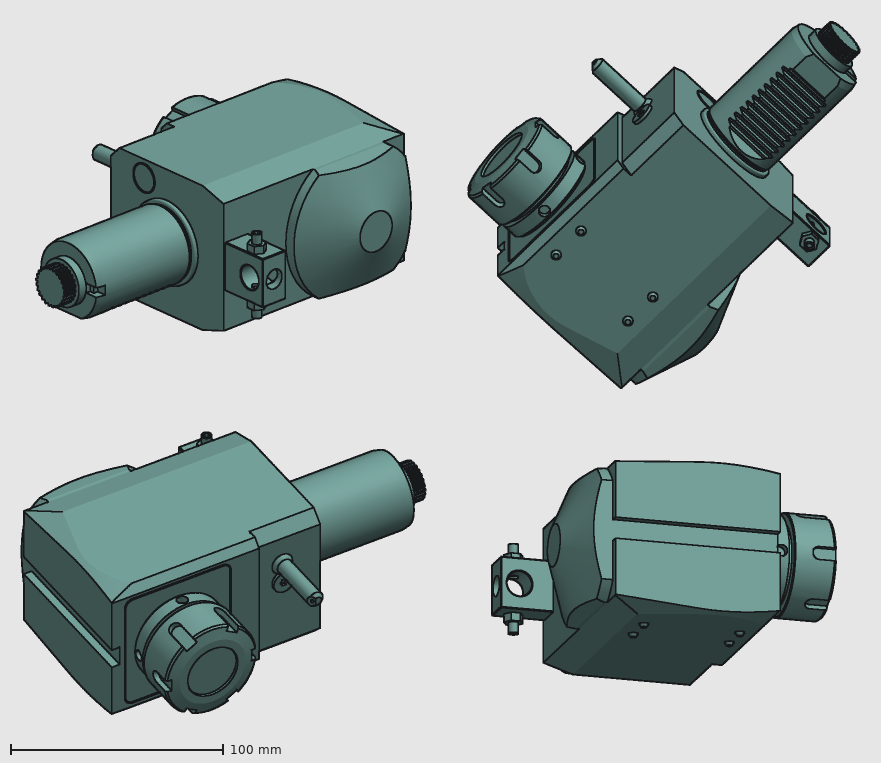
import cadquery as cq
import math


HOUSING_HEIGHT = 75.0
HALF_HEIGHT = HOUSING_HEIGHT / 2
HOUSING_BACK = 116.0
SPINDLE_FACE_X = -42.0
FRONT_STEP_X = -39.0
FRONT_STEP_Y = 35.2
HOUSING_RIGHT = 39.2
SPINDLE_SIDE_CHAMFER = 4.0
FRONT_STEP_CHAMFER = 6.0
TAPER_START_X = 24.6
TAPER_DROP = 4.5
NOTCH_WIDTH = 10.4
NOTCH_DEPTH = 4.3

CROWN_RADIUS = 38.5
CROWN_CENTER_X = -12.6
CROWN_CENTER_Y = 73.9
CROWN_LINE_ANGLE = 15.6
CROWN_SLOPE = 3.4
CROWN_DEPTH = 7.5

SPINDLE_Y = 80.0
NUT_FRONT_X = -74.6
NUT_BACK_X = -52.5
NUT_RADIUS = 25.0
NUT_FACE_RADIUS = 18.0
NUT_RIM_RADIUS = 24.2
NUT_RIM_X = -73.2
NUT_BEVEL_X = -72.1
NUT_EDGE_BEVEL = 0.5
COLLET_RADIUS = 13.7
COLLET_RECESS = 1.5
NECK_RADIUS = 20.4
RING_FRONT_X = -50.2
RING_BACK_X = -43.1
RING_RADIUS = 24.0
RING_SEAT_RADIUS = 23.0
RING_HOLE_X = -46.4
RING_HOLE_DIAMETER = 5.5
RING_HOLE_DEPTH = 4.0
RING_HOLE_COUNT = 4
NUT_SLOT_COUNT = 6
NUT_SLOT_WIDTH = 6.4
LONG_SLOT_END_X = -57.5
SHORT_SLOT_END_X = -61.5
LONG_SLOT_POSITIONS = (0, 1)
NUT_SLOT_DEPTH = 3.1

FRAME_Y_MIN = 50.6
FRAME_Y_MAX = 108.8
FRAME_HEIGHT = 63.0
FRAME_RADIUS = 4.5
FRAME_LINE = 0.5

COVER_RADIUS = 40.0
COVER_TIP_RADIUS = 10.3
COVER_CONE_X = 44.8
COVER_TIP_X = 58.6
COVER_SHOULDER_X = 40.8
COVER_HALF_HEIGHT = 33.0
COVER_SIDE_SLOPE = 0.235

SHANK_RADIUS = 20.0
SHANK_END = 63.2
COLLAR_RADIUS = 21.5
COLLAR_LENGTH = 2.3
COLLAR_FILLET = 0.8
RELIEF_RADIUS = 19.4
RELIEF_END = 3.2
LEAD_IN_END = 4.2
TIP_BEVEL_START = 59.6
TIP_RADIUS = 19.2
HUB_RADIUS = 12.1
HUB_END = 67.8
SPLINE_RADIUS = 10.0
SPLINE_ROOT_RADIUS = 9.2
SPLINE_TEETH = 24
SPLINE_END = 75.0
TOOTH_RISE_START = 0.3
TOOTH_TIP_START = 0.5
TOOTH_TIP_END = 0.8
KEYWAY_WIDTH = 5.0
KEYWAY_DEPTH = 5.0
KEYWAY_STEP_DEPTH = 2.5
KEYWAY_STEP_X = 14.8

TOOTH_TIP_Z = -16.3
TOOTH_ROOT_Z = -14.3
END_FLAT_Z = -17.1
FLAT_START_Y = -9.0
FLAT_END_Y = -50.0
TOOTH_PITCH = 4.0
GROOVE_COUNT = 10
FIRST_GROOVE_Y = -11.5
GROOVE_ROOT_WIDTH = 1.0
GROOVE_MOUTH_WIDTH = 2.8

NOZZLE_Y = 20.8
NOZZLE_Z = 16.1
NOZZLE_RADIUS = 4.0
NOZZLE_TIP_X = -71.6
NOZZLE_TIP_CHAMFER = 1.8
TIP_FLAT_OFFSET = 1.0
ORIFICE_SETBACK = 1.2
ORIFICE_DIAMETER = 1.5
ORIFICE_DEPTH = 2.0
BALL_RADIUS = 6.0
BALL_CENTER_X = FRONT_STEP_X + 2.15
PLUG_Z = 6.0
PLUG_RADIUS = 5.6
PLUG_HEIGHT = 1.7
PLUG_SOCKET_SIZE = 3.9
PLUG_SOCKET_DEPTH = 1.5
FRONT_PLUG_X = -16.1
FRONT_PLUG_Z = 27.6
FRONT_PLUG_RADIUS = 7.5
FRONT_PLUG_LINE = 0.5
SURFACE_LINE_DEPTH = 0.3

LUG_RIGHT = 65.0
LUG_Y_MIN = 1.2
LUG_Y_MAX = 16.0
LUG_HALF_HEIGHT = 12.6
LUG_EDGE_CHAMFER = 0.4
LUG_HOLE_X = 55.8
LUG_HOLE_DIAMETER = 12.2
LUG_HOLE_CHAMFER = 0.4
PORT_DIAMETER = 10.0
SCREW_TIP_GAP = 1.0
SCREW_Y = 6.0
SCREW_DIAMETER = 4.8
SCREW_TOP = 21.8
SCREW_SOCKET_SIZE = 3.4
SCREW_SOCKET_DEPTH = 2.5
LOCK_NUT_SIZE = 9.2
LOCK_NUT_HEIGHT = 4.0

RIVET_X = (-30.5, 16.8)
RIVET_Y_OFFSET = 8.4
RIVET_RADIUS = 2.4
RIVET_TIP_RADIUS = 1.3
RIVET_HEIGHT = 1.6

OVERLAP = 1.0


def x_cylinder(x_start, x_end, radius, y, z):
    """Cylinder along X between two X positions."""
    return cq.Workplane("YZ", origin=(x_start, y, z)).circle(radius).extrude(x_end - x_start)


def box(x_min, x_max, y_min, y_max, z_min, z_max):
    """Box given by its limits."""
    return (
        cq.Workplane("XY")
        .box(x_max - x_min, y_max - y_min, z_max - z_min, centered=False)
        .translate((x_min, y_min, z_min))
    )


def housing_section(left, chamfer, y_min, y_max):
    """Prism along Y: chamfered on the left, tapered on the right."""
    right_z = HALF_HEIGHT - TAPER_DROP
    upper = [
        (left, HALF_HEIGHT - chamfer),
        (left + chamfer, HALF_HEIGHT),
        (TAPER_START_X, HALF_HEIGHT),
        (HOUSING_RIGHT, right_z),
    ]
    lower = [(x, -z) for x, z in reversed(upper)]
    return (
        cq.Workplane("XZ", origin=(0, y_min, 0))
        .polyline(upper + lower)
        .close()
        .extrude(y_min - y_max)
    )


def crown_outline(plane, growth):
    """Crown outline at one level: an arc running into a tangent line at the back."""
    radius = CROWN_RADIUS + growth
    far_right = HOUSING_RIGHT + OVERLAP
    left = CROWN_CENTER_X - radius
    line_angle = math.radians(CROWN_LINE_ANGLE)
    mid_angle = (line_angle - math.pi / 2) / 2

    def on_arc(angle):
        return (
            CROWN_CENTER_X + radius * math.sin(angle),
            CROWN_CENTER_Y + radius * math.cos(angle),
        )

    tangent_x, tangent_y = on_arc(line_angle)
    line_end_y = tangent_y - (far_right - tangent_x) * math.tan(line_angle)
    return (
        plane.moveTo(left, -OVERLAP)
        .lineTo(left, CROWN_CENTER_Y)
        .threePointArc(on_arc(mid_angle), (tangent_x, tangent_y))
        .lineTo(far_right, line_end_y)
        .lineTo(far_right, -OVERLAP)
        .close()
    )


def crown_envelope():
    """Space the housing keeps: a full-size core between two sloped crowns."""
    base_z = HALF_HEIGHT - CROWN_DEPTH
    outline = crown_outline(cq.Workplane("XY", origin=(0, 0, base_z)), CROWN_DEPTH * CROWN_SLOPE)
    upper = crown_outline(outline.workplane(offset=CROWN_DEPTH), 0).loft(ruled=True)
    lower = upper.mirror("XY")
    core = box(
        SPINDLE_FACE_X - OVERLAP, HOUSING_RIGHT + OVERLAP,
        -OVERLAP, HOUSING_BACK + OVERLAP, -base_z, base_z,
    )
    return core.union(upper).union(lower)


def make_housing():
    """Stepped housing with its sloped back crown and a notch across the back."""
    rear = housing_section(SPINDLE_FACE_X, SPINDLE_SIDE_CHAMFER, FRONT_STEP_Y, HOUSING_BACK)
    front = housing_section(FRONT_STEP_X, FRONT_STEP_CHAMFER, 0, FRONT_STEP_Y)
    notch = box(
        SPINDLE_FACE_X - OVERLAP, HOUSING_RIGHT + OVERLAP,
        HOUSING_BACK - NOTCH_DEPTH, HOUSING_BACK + OVERLAP,
        -NOTCH_WIDTH / 2, NOTCH_WIDTH / 2,
    )
    return rear.intersect(crown_envelope()).union(front).cut(notch)


def frame_line():
    """Shallow rounded-rectangle groove on the spindle face."""
    width = FRAME_Y_MAX - FRAME_Y_MIN
    center_y = (FRAME_Y_MAX + FRAME_Y_MIN) / 2

    def rounded_plate(inset):
        return (
            cq.Workplane("YZ", origin=(SPINDLE_FACE_X, center_y, 0))
            .rect(width - 2 * inset, FRAME_HEIGHT - 2 * inset)
            .extrude(SURFACE_LINE_DEPTH)
            .edges("|X")
            .fillet(FRAME_RADIUS - inset)
        )

    return rounded_plate(0).cut(rounded_plate(FRAME_LINE))


def front_plug_line():
    """Shallow ring groove around the plug in the front face."""
    return (
        cq.Workplane("XZ", origin=(FRONT_PLUG_X, 0, FRONT_PLUG_Z))
        .circle(FRONT_PLUG_RADIUS)
        .circle(FRONT_PLUG_RADIUS - FRONT_PLUG_LINE)
        .extrude(-SURFACE_LINE_DEPTH)
    )


def nut_slot(end_x):
    """Wrench slot on top of the nut, open at the front and round at its end."""
    return (
        cq.Workplane("XY", origin=(NUT_FRONT_X, 0, NUT_RADIUS - NUT_SLOT_DEPTH))
        .slot2D(2 * (end_x - NUT_FRONT_X), NUT_SLOT_WIDTH)
        .extrude(NUT_SLOT_DEPTH + OVERLAP)
    )


def make_spindle():
    """Collet nut, neck and bearing ring, turned about the spindle axis."""
    profile = [
        (SPINDLE_FACE_X + OVERLAP, 0),
        (NUT_FRONT_X + COLLET_RECESS, 0),
        (NUT_FRONT_X + COLLET_RECESS, COLLET_RADIUS),
        (NUT_FRONT_X, COLLET_RADIUS),
        (NUT_FRONT_X, NUT_FACE_RADIUS),
        (NUT_RIM_X, NUT_RIM_RADIUS),
        (NUT_BEVEL_X, NUT_RADIUS),
        (NUT_BACK_X - NUT_EDGE_BEVEL, NUT_RADIUS),
        (NUT_BACK_X, NUT_RADIUS - NUT_EDGE_BEVEL),
        (NUT_BACK_X, NECK_RADIUS),
        (RING_FRONT_X, NECK_RADIUS),
        (RING_FRONT_X, RING_RADIUS),
        (RING_BACK_X, RING_RADIUS),
        (RING_BACK_X, RING_SEAT_RADIUS),
        (SPINDLE_FACE_X + OVERLAP, RING_SEAT_RADIUS),
    ]
    turned = cq.Workplane("XY").polyline(profile).close().revolve(360, (0, 0, 0), (1, 0, 0))

    slot_step = 360 / NUT_SLOT_COUNT
    for index in range(NUT_SLOT_COUNT):
        slot_end = LONG_SLOT_END_X if index in LONG_SLOT_POSITIONS else SHORT_SLOT_END_X
        angle = (index - 0.5) * slot_step
        turned = turned.cut(nut_slot(slot_end).rotate((0, 0, 0), (1, 0, 0), angle))

    hole = (
        cq.Workplane("XY", origin=(RING_HOLE_X, 0, RING_RADIUS - RING_HOLE_DEPTH))
        .circle(RING_HOLE_DIAMETER / 2)
        .extrude(RING_HOLE_DEPTH + OVERLAP)
    )
    for index in range(RING_HOLE_COUNT):
        turned = turned.cut(hole.rotate((0, 0, 0), (1, 0, 0), index * 360 / RING_HOLE_COUNT))
    return turned.translate((0, SPINDLE_Y, 0))


def make_cover():
    """Conical cover trimmed above, below and at the back."""
    profile = [
        (HOUSING_RIGHT - OVERLAP, 0),
        (HOUSING_RIGHT - OVERLAP, COVER_RADIUS),
        (COVER_CONE_X, COVER_RADIUS),
        (COVER_TIP_X, COVER_TIP_RADIUS),
        (COVER_TIP_X, 0),
    ]
    cone = (
        cq.Workplane("XY")
        .polyline(profile)
        .close()
        .revolve(360, (0, 0, 0), (1, 0, 0))
        .translate((0, SPINDLE_Y, 0))
    )
    tip_z = COVER_HALF_HEIGHT - COVER_SIDE_SLOPE * (COVER_TIP_X - COVER_SHOULDER_X)
    upper = [
        (HOUSING_RIGHT - OVERLAP, COVER_HALF_HEIGHT),
        (COVER_SHOULDER_X, COVER_HALF_HEIGHT),
        (COVER_TIP_X, tip_z),
    ]
    lower = [(x, -z) for x, z in reversed(upper)]
    cover_back = HOUSING_BACK - NOTCH_DEPTH
    envelope = (
        cq.Workplane("XZ", origin=(0, cover_back, 0))
        .polyline(upper + lower)
        .close()
        .extrude(2 * COVER_RADIUS)
    )
    return cone.intersect(envelope)


def make_shank_body():
    """Collar, shank and hub, turned about the Y axis."""
    profile = [
        (0, OVERLAP),
        (COLLAR_RADIUS, OVERLAP),
        (COLLAR_RADIUS, -COLLAR_LENGTH),
        (RELIEF_RADIUS, -COLLAR_LENGTH),
        (RELIEF_RADIUS, -RELIEF_END),
        (SHANK_RADIUS, -LEAD_IN_END),
        (SHANK_RADIUS, -TIP_BEVEL_START),
        (TIP_RADIUS, -SHANK_END),
        (HUB_RADIUS, -SHANK_END),
        (HUB_RADIUS, -HUB_END),
        (0, -HUB_END),
    ]
    body = cq.Workplane("XY").polyline(profile).close().revolve(360, (0, 0, 0), (0, 1, 0))
    collar_edge = cq.selectors.BoxSelector(
        (-COLLAR_RADIUS - OVERLAP, -COLLAR_LENGTH - OVERLAP / 4, -COLLAR_RADIUS - OVERLAP),
        (COLLAR_RADIUS + OVERLAP, -COLLAR_LENGTH + OVERLAP / 4, COLLAR_RADIUS + OVERLAP),
    )
    rim = cq.selectors.RadiusNthSelector(-1)
    return body.edges(collar_edge).edges(rim).fillet(COLLAR_FILLET)


def clamping_flat():
    """Material removed from the shank underside: relieved flat, grooves and end flat."""
    bottom = -COLLAR_RADIUS - OVERLAP
    ramp_height = TOOTH_TIP_Z - bottom
    step_height = TOOTH_TIP_Z - END_FLAT_Z
    flat = [
        (FLAT_START_Y, TOOTH_TIP_Z),
        (FLAT_START_Y + ramp_height, bottom),
        (-SHANK_END - OVERLAP, bottom),
        (-SHANK_END - OVERLAP, END_FLAT_Z),
        (FLAT_END_Y - step_height, END_FLAT_Z),
        (FLAT_END_Y, TOOTH_TIP_Z),
    ]

    def along_x(points):
        return cq.Workplane("YZ").polyline(points).close().extrude(SHANK_RADIUS, both=True)

    cutter = along_x(flat)
    for index in range(GROOVE_COUNT):
        y = FIRST_GROOVE_Y - index * TOOTH_PITCH
        groove = [
            (y - GROOVE_ROOT_WIDTH / 2, TOOTH_ROOT_Z),
            (y + GROOVE_ROOT_WIDTH / 2, TOOTH_ROOT_Z),
            (y + GROOVE_MOUTH_WIDTH / 2, TOOTH_TIP_Z),
            (y - GROOVE_MOUTH_WIDTH / 2, TOOTH_TIP_Z),
        ]
        cutter = cutter.union(along_x(groove))
    collar_guard = box(
        -COLLAR_RADIUS, COLLAR_RADIUS, -COLLAR_LENGTH, OVERLAP, bottom, TOOTH_TIP_Z,
    )
    return cutter.cut(collar_guard)


def make_spline():
    """Splined drive end with straight-flanked teeth."""
    tooth_angle = 2 * math.pi / SPLINE_TEETH
    points = []
    for index in range(SPLINE_TEETH):
        start = index * tooth_angle
        corners = (
            (SPLINE_ROOT_RADIUS, 0),
            (SPLINE_ROOT_RADIUS, TOOTH_RISE_START),
            (SPLINE_RADIUS, TOOTH_TIP_START),
            (SPLINE_RADIUS, TOOTH_TIP_END),
        )
        for radius, share in corners:
            angle = start + share * tooth_angle
            points.append((radius * math.cos(angle), radius * math.sin(angle)))
    return (
        cq.Workplane("XZ", origin=(0, -HUB_END + OVERLAP, 0))
        .polyline(points)
        .close()
        .extrude(SPLINE_END - HUB_END + OVERLAP)
    )


def keyway():
    """Stepped radial slot in the end face of the shank, deeper at the rim."""
    half_width = KEYWAY_WIDTH / 2
    mouth_y = -SHANK_END - OVERLAP
    shallow_floor = -SHANK_END + KEYWAY_STEP_DEPTH
    deep_floor = -SHANK_END + KEYWAY_DEPTH
    rim_x = SHANK_RADIUS + OVERLAP
    shallow = box(HUB_RADIUS, rim_x, mouth_y, shallow_floor, -half_width, half_width)
    deep = box(KEYWAY_STEP_X, rim_x, mouth_y, deep_floor, -half_width, half_width)
    return shallow.union(deep)


def make_shank():
    """Complete shank with clamping flat, keyway and splined end."""
    return make_shank_body().cut(clamping_flat()).cut(keyway()).union(make_spline())


def make_nozzle():
    """Coolant pipe in a ball seat."""
    ball = cq.Workplane("XY").sphere(BALL_RADIUS).translate((BALL_CENTER_X, NOZZLE_Y, NOZZLE_Z))
    pipe = x_cylinder(NOZZLE_TIP_X, BALL_CENTER_X, NOZZLE_RADIUS, NOZZLE_Y, NOZZLE_Z)
    pipe = pipe.faces("<X").chamfer(NOZZLE_TIP_CHAMFER)

    flat_start = NOZZLE_Y + TIP_FLAT_OFFSET
    flat_length = NOZZLE_RADIUS + OVERLAP - TIP_FLAT_OFFSET
    wedge = (
        cq.Workplane("XY", origin=(0, 0, NOZZLE_Z - NOZZLE_RADIUS))
        .moveTo(NOZZLE_TIP_X, flat_start)
        .lineTo(NOZZLE_TIP_X + flat_length, flat_start + flat_length)
        .lineTo(NOZZLE_TIP_X, flat_start + flat_length)
        .close()
        .extrude(2 * NOZZLE_RADIUS)
    )
    orifice_plane = cq.Plane(
        origin=(NOZZLE_TIP_X + ORIFICE_SETBACK, flat_start + ORIFICE_SETBACK, NOZZLE_Z),
        xDir=(0, 0, 1),
        normal=(1, -1, 0),
    )
    orifice = cq.Workplane(orifice_plane).circle(ORIFICE_DIAMETER / 2).extrude(ORIFICE_DEPTH)
    return ball.union(pipe.cut(wedge).cut(orifice))


def make_side_plug():
    """Round plug with a hexagon socket below the nozzle."""
    plug_face = FRONT_STEP_X - PLUG_HEIGHT
    plug = x_cylinder(plug_face, FRONT_STEP_X + OVERLAP, PLUG_RADIUS, NOZZLE_Y, PLUG_Z)
    socket = (
        cq.Workplane("YZ", origin=(plug_face, NOZZLE_Y, PLUG_Z))
        .polygon(6, PLUG_SOCKET_SIZE)
        .extrude(PLUG_SOCKET_DEPTH)
    )
    return plug.cut(socket)


def make_set_screw():
    """Upper set screw with its lock nut; the lug itself fills the thread below it."""
    nut = (
        cq.Workplane("XY", origin=(LUG_HOLE_X, SCREW_Y, LUG_HALF_HEIGHT))
        .polygon(6, LOCK_NUT_SIZE)
        .extrude(LOCK_NUT_HEIGHT)
    )
    screw = (
        cq.Workplane("XY", origin=(LUG_HOLE_X, SCREW_Y, LUG_HALF_HEIGHT - OVERLAP))
        .circle(SCREW_DIAMETER / 2)
        .extrude(SCREW_TOP - LUG_HALF_HEIGHT + OVERLAP)
    )
    socket = (
        cq.Workplane("XY", origin=(LUG_HOLE_X, SCREW_Y, SCREW_TOP))
        .polygon(6, SCREW_SOCKET_SIZE)
        .extrude(-SCREW_SOCKET_DEPTH)
    )
    return nut.union(screw).cut(socket)


def lug_countersink(face_y, inward):
    """Cone that breaks the edge of the lug hole on one face."""
    radius = LUG_HOLE_DIAMETER / 2
    return (
        cq.Workplane("XZ", origin=(LUG_HOLE_X, face_y, 0))
        .circle(radius + LUG_HOLE_CHAMFER)
        .workplane(offset=-inward * LUG_HOLE_CHAMFER)
        .circle(radius)
        .loft()
    )


def make_lug():
    """Side block with a through hole along Y, a port from the +X face and two set screws."""
    block = box(
        HOUSING_RIGHT - OVERLAP, LUG_RIGHT, LUG_Y_MIN, LUG_Y_MAX, -LUG_HALF_HEIGHT, LUG_HALF_HEIGHT,
    )
    block = block.edges("not <X").chamfer(LUG_EDGE_CHAMFER)
    cross_hole = (
        cq.Workplane("XZ", origin=(LUG_HOLE_X, LUG_Y_MAX, 0))
        .circle(LUG_HOLE_DIAMETER / 2)
        .extrude(LUG_Y_MAX - LUG_Y_MIN)
        .union(lug_countersink(LUG_Y_MIN, 1))
        .union(lug_countersink(LUG_Y_MAX, -1))
    )
    port = x_cylinder(LUG_HOLE_X, LUG_RIGHT, PORT_DIAMETER / 2, (LUG_Y_MIN + LUG_Y_MAX) / 2, 0)
    tip_z = LUG_HOLE_DIAMETER / 2 + SCREW_TIP_GAP
    screw_bore = (
        cq.Workplane("XY", origin=(LUG_HOLE_X, SCREW_Y, -tip_z))
        .circle(SCREW_DIAMETER / 2)
        .extrude(2 * tip_z)
    )
    screw = make_set_screw()
    return block.cut(cross_hole).cut(port).cut(screw_bore).union(screw).union(screw.mirror("XY"))


def make_rivets():
    """Four tapered rivet heads on the underside, centred on the spindle axis."""
    profile = [
        (0, OVERLAP),
        (RIVET_RADIUS, OVERLAP),
        (RIVET_RADIUS, 0),
        (RIVET_TIP_RADIUS, -RIVET_HEIGHT),
        (0, -RIVET_HEIGHT),
    ]
    rivet = cq.Workplane("XZ").polyline(profile).close().revolve(360, (0, 0, 0), (0, 1, 0))
    rivets = cq.Workplane("XY")
    for x in RIVET_X:
        for y_offset in (-RIVET_Y_OFFSET, RIVET_Y_OFFSET):
            rivets = rivets.add(rivet.translate((x, SPINDLE_Y + y_offset, -HALF_HEIGHT)))
    return rivets.combine()


housing = make_housing().cut(frame_line()).cut(front_plug_line())
attachments = (
    make_cover(),
    make_spindle(),
    make_shank(),
    make_side_plug(),
    make_nozzle(),
    make_lug(),
    make_rivets(),
)
result = housing
for attachment in attachments:
    result = result.union(attachment)